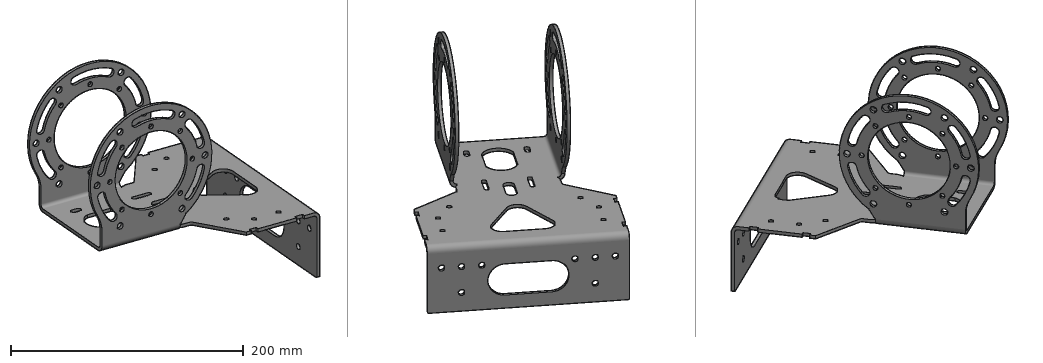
import cadquery as cq
import math

thickness = 3.1
bend_radius = 6.3

plate_width = 176.0
rear_y = 148.0
front_y = -50.2
shoulder_y = 72.9
taper_slope = 0.69
relief_x = 45.5
relief_corner_radius = 3.1
relief_y = 35.0

arm_outer_x = 50.2
arm_rear_y = 29.8
ring_height = 66.0
ring_radius = 62.0
ring_bore = 73.5
heel_y = 35.7
front_blend_z = 21.5

flange_bottom_z = -60.0
flange_corner_radius = 1.7

half_width = plate_width / 2
bend_line_x = arm_outer_x - bend_radius
bend_line_y = rear_y - bend_radius
through = 4 * thickness


def quarter_bend(plane, length):
    """Quarter bend turning from the plane's local X direction to its local Y direction."""
    inner_radius = bend_radius - thickness
    diagonal = math.sqrt(0.5)
    return (
        cq.Workplane(plane)
        .lineTo(0, thickness)
        .threePointArc(
            (inner_radius * diagonal, bend_radius - inner_radius * diagonal),
            (inner_radius, bend_radius),
        )
        .lineTo(bend_radius, bend_radius)
        .threePointArc((bend_radius * diagonal, bend_radius - bend_radius * diagonal), (0, 0))
        .close()
        .extrude(length)
    )


def base_sheet():
    """Flat base: wide at the rear, tapering to the strip between the two side bends."""
    taper_end_y = shoulder_y - taper_slope * (half_width - relief_x)
    right_edge = [
        (bend_line_x, front_y),
        (bend_line_x, arm_rear_y),
        (relief_x, relief_y),
        (relief_x, taper_end_y),
        (half_width, shoulder_y),
        (half_width, bend_line_y),
    ]
    left_edge = [(-x, y) for x, y in reversed(right_edge)]
    sheet = cq.Workplane("XY").polyline(right_edge + left_edge).close().extrude(thickness)
    for side in (-1, 1):
        corner = cq.selectors.NearestToPointSelector((side * relief_x, taper_end_y, thickness / 2))
        sheet = sheet.edges("|Z").edges(corner).fillet(relief_corner_radius)
    return sheet


def base_cutter():
    return cq.Workplane("XY", origin=(0, 0, thickness / 2 - through / 2))


def base_cutouts():
    """Screw holes, slots, edge notches and the two large openings of the base."""
    screw_diameter = 4.5
    screw_points = [(70.0, 117.4), (70.0, 92.4), (57.1, 72.2)]
    mirrored_screws = [(side * x, y) for x, y in screw_points for side in (-1, 1)]
    cuts = base_cutter().pushPoints(mirrored_screws).circle(screw_diameter / 2).extrude(through)

    for x, y, length, width in [(0, 46.0, 25.0, 9.9), (20.0, 35.0, 19.3, 4.2), (26.5, -27.7, 10.0, 4.8)]:
        for side in (-1, 1):
            cuts = cuts.union(base_cutter().center(side * x, y).slot2D(length, width, 90).extrude(through))

    notch_depth = 3.0
    for y, length in [(128.3, 7.5), (81.5, 6.7)]:
        for side in (-1, 1):
            notch = base_cutter().center(side * half_width, y).rect(2 * notch_depth, length).extrude(through)
            cuts = cuts.union(notch)

    return cuts.union(triangle_opening()).union(barrel_opening())


def triangle_opening():
    """Rounded triangle, drawn through its corner centres and grown by the corner radius."""
    corner_radius = 10.0
    centres = [(-17.8, 117.0), (17.8, 117.0), (0, 87.0)]
    return base_cutter().polyline(centres).close().offset2D(corner_radius).extrude(through)


def barrel_opening():
    """Straight-sided opening with ends that bulge on a radius a little over half its width."""
    centre_y = -12.4
    half_opening = 13.9
    half_length = 21.52
    end_radius = 14.7
    bulge = end_radius - math.sqrt(end_radius**2 - half_opening**2)
    half_straight = half_length - bulge
    return (
        base_cutter()
        .center(0, centre_y)
        .moveTo(half_opening, -half_straight)
        .lineTo(half_opening, half_straight)
        .threePointArc((0, half_length), (-half_opening, half_straight))
        .lineTo(-half_opening, -half_straight)
        .threePointArc((0, -half_length), (half_opening, -half_straight))
        .close()
        .extrude(through)
    )


def rear_flange():
    """Bend and flange hanging from the rear edge, with its screw holes and wide slot."""
    plane = cq.Plane(origin=(half_width, bend_line_y, thickness), xDir=(0, 1, 0), normal=(-1, 0, 0))
    bend = quarter_bend(plane, plate_width)

    top_z = thickness - bend_radius
    flange = (
        cq.Workplane("XY", origin=(0, rear_y - thickness / 2, flange_bottom_z))
        .rect(plate_width, thickness)
        .extrude(top_z - flange_bottom_z)
        .faces("<Z")
        .edges("|Y")
        .fillet(flange_corner_radius)
    )

    hole_diameter = 5.5
    hole_points = [(75.5, -17.5), (58.2, -17.5), (40.5, -17.5), (58.2, -42.2)]
    mirrored_holes = [(side * x, z) for x, z in hole_points for side in (-1, 1)]
    cutter = cq.Workplane("XZ", origin=(0, rear_y - thickness / 2 + through / 2, 0))
    holes = cutter.pushPoints(mirrored_holes).circle(hole_diameter / 2).extrude(through)

    slot_length = 70.5
    slot_width = 29.8
    slot_z = -32.5
    slot = cutter.center(0, slot_z).slot2D(slot_length, slot_width).extrude(through)
    return bend.union(flange.cut(holes).cut(slot))


def polar(radius, degrees):
    """Point around the ring axis as (y, z from the axis)."""
    angle = math.radians(degrees)
    return radius * math.cos(angle), radius * math.sin(angle)


def front_blend():
    """Concave arc tangent to the arm's front edge and to the ring: start, middle and end points."""
    drop = front_blend_z - ring_height
    radius = (front_y**2 + drop**2 - ring_radius**2) / (2 * (ring_radius + front_y))
    centre_y = front_y - radius
    middle_angle = math.atan2(-drop, -centre_y) / 2
    middle = (centre_y + radius * math.cos(middle_angle), drop + radius * math.sin(middle_angle))
    shrink = ring_radius / (ring_radius + radius)
    return (front_y, drop), middle, (centre_y * shrink, drop * shrink)


def arc_slot(workplane, start, end):
    """Round-ended slot following the ring between two cap-centre angles in degrees."""
    mean_radius = 51.9
    cap_radius = 4.0
    inner = mean_radius - cap_radius
    outer = mean_radius + cap_radius
    middle = (start + end) / 2
    cap_turn = math.degrees(cap_radius / mean_radius)
    return (
        workplane.moveTo(*polar(outer, start))
        .threePointArc(polar(outer, middle), polar(outer, end))
        .threePointArc(polar(mean_radius, end + cap_turn), polar(inner, end))
        .threePointArc(polar(inner, middle), polar(inner, start))
        .threePointArc(polar(mean_radius, start - cap_turn), polar(outer, start))
        .close()
        .extrude(thickness)
    )


def side_arm():
    """Bend and ring plate on the +X side."""
    plane = cq.Plane(origin=(bend_line_x, arm_rear_y, 0), xDir=(1, 0, 0), normal=(0, -1, 0))
    bend = quarter_bend(plane, arm_rear_y - front_y)

    inner_face = cq.Workplane("YZ", origin=(arm_outer_x - thickness, 0, ring_height))
    arm_foot = bend_radius - ring_height
    heel = (heel_y, -math.sqrt(ring_radius**2 - heel_y**2))
    blend_start, blend_middle, blend_end = front_blend()
    plate = (
        inner_face.moveTo(front_y, arm_foot)
        .lineTo(arm_rear_y, arm_foot)
        .lineTo(*heel)
        .threePointArc((0, ring_radius), blend_end)
        .threePointArc(blend_middle, blend_start)
        .close()
        .extrude(thickness)
    )

    cuts = inner_face.circle(ring_bore / 2).extrude(thickness)

    small_hole_diameter = 4.5
    small_circle_radius = 42.0
    small_points = [polar(small_circle_radius, 45 * i) for i in range(8)]
    cuts = cuts.union(inner_face.pushPoints(small_points).circle(small_hole_diameter / 2).extrude(thickness))

    large_hole_diameter = 5.9
    large_circle_radius = 55.0
    large_points = [polar(large_circle_radius, angle) for angle in (0, 55, 125, 180, 235, 305)]
    cuts = cuts.union(inner_face.pushPoints(large_points).circle(large_hole_diameter / 2).extrude(thickness))

    for start, end in [(13, 42), (67, 107.5), (138, 167), (193, 222), (318, 347)]:
        cuts = cuts.union(arc_slot(inner_face, start, end))
    return bend.union(plate.cut(cuts))


arm = side_arm()
result = base_sheet().cut(base_cutouts()).union(rear_flange()).union(arm).union(arm.mirror("YZ"))